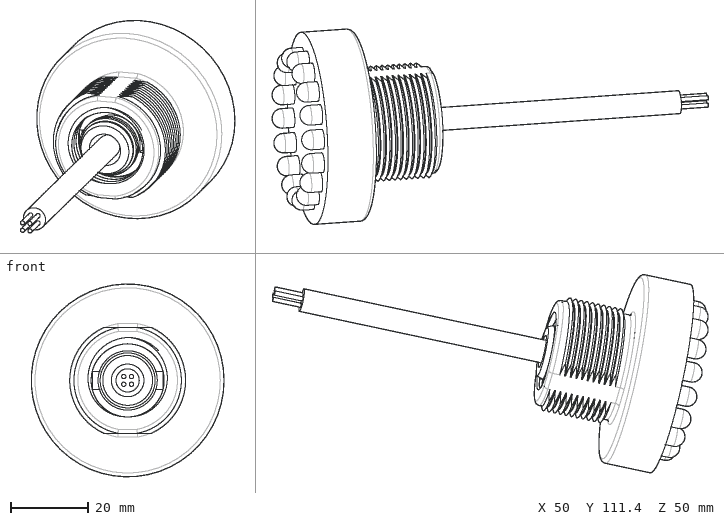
import cadquery as cq
import math


HEAD_DIAMETER = 50.0
HEAD_RADIUS = HEAD_DIAMETER / 2
HEAD_THICKNESS = 13.0
EDGE_RADIUS = 1.0

PIN_COUNT = 18
PIN_RADIUS = 2.6
PIN_LENGTH = 5.5
PIN_CIRCLE_RADIUS = 18.5
FIRST_PIN_ANGLE = 90

NECK_RADIUS = 13.9
NECK_LENGTH = 20.0
FLAT_DISTANCE = 13.7
THREAD_HEIGHT = 1.1
THREAD_START = 2.1
THREAD_LENGTH = 15.8
THREAD_TURNS = 10.5
THREAD_PITCH = THREAD_LENGTH / THREAD_TURNS
THREAD_START_ANGLE = 90

BORE_RADIUS = 9.5
BORE_DEPTH = 13.4
BORE_THREAD_PITCH = 2.0
BORE_THREAD_DEPTH = 1.7
BORE_THREAD_TURNS = 3.5
BORE_THREAD_START_ANGLE = 90
BORE_THREAD_RUNOUT = 0.5

GLAND_RECESS = 6.7
COLLAR_RADIUS = 7.1
COLLAR_TIP_RADIUS = 6.5
COLLAR_TAPER_LENGTH = 1.5
COLLAR_TIP = 21.2
COLLAR_LAND_LENGTH = 0.7
COLLAR_RIDGE_COUNT = 3
COLLAR_RIDGE_PITCH = 1.0
COLLAR_RIDGE_HEIGHT = 0.6
CONE_MOUTH_RADIUS = 4.2
CONE_DEPTH = 3.3
SLOT_INNER = COLLAR_RADIUS
SLOT_OUTER = 9.1
SLOT_WIDTH = 4.7
SLOT_DEPTH = 2.2

CABLE_RADIUS = 3.0
TOTAL_LENGTH = 111.4
WIRE_LENGTH = 7.5
WIRE_RADIUS = 0.6
WIRE_SPACING = 2.0

WIRE_TIP = TOTAL_LENGTH - HEAD_THICKNESS - PIN_LENGTH
CABLE_END = WIRE_TIP - WIRE_LENGTH
BORE_FLOOR = NECK_LENGTH - BORE_DEPTH
GLAND_FACE = NECK_LENGTH - GLAND_RECESS
CONE_FLOOR = COLLAR_TIP - CONE_DEPTH
TAPER_BASE = COLLAR_TIP - COLLAR_TAPER_LENGTH
FIRST_COLLAR_RIDGE = TAPER_BASE - COLLAR_LAND_LENGTH - COLLAR_RIDGE_PITCH / 2

THREAD_FLANK_ANGLE = 30
THREAD_OVERLAP = 0.06
AXIS_ORIGIN = (0, 0, 0)
AXIS_TIP = (0, 0, 1)


def revolve_profile(profile):
    """Turn a (radius, height) outline in the XZ plane about the Z axis."""
    return profile.close().revolve(360, (0, 0), (0, 1))


def cylinder(radius, bottom, top):
    return cq.Workplane("XY").workplane(offset=bottom).circle(radius).extrude(top - bottom)


def thread(surface_radius, height, pitch, turns, start, start_angle):
    """Right-hand 60 degree V ridge wound on a cylinder, rooted just below its surface."""
    root_radius = surface_radius - THREAD_OVERLAP
    half_width = (height + THREAD_OVERLAP) * math.tan(math.radians(THREAD_FLANK_ANGLE))
    path = cq.Wire.makeHelix(pitch, turns * pitch, surface_radius)
    ridge = (
        cq.Workplane("XZ")
        .moveTo(root_radius, -half_width)
        .lineTo(surface_radius + height, 0)
        .lineTo(root_radius, half_width)
        .close()
        .sweep(cq.Workplane(path), isFrenet=True)
    )
    return ridge.translate((0, 0, start)).rotate(AXIS_ORIGIN, AXIS_TIP, start_angle)


def make_head():
    return cylinder(HEAD_RADIUS, -HEAD_THICKNESS, 0).faces(">Z").edges().fillet(EDGE_RADIUS)


def make_pin():
    dome_start = PIN_LENGTH - PIN_RADIUS
    dome_45 = PIN_RADIUS * math.sqrt(0.5)
    profile = (
        cq.Workplane("XZ")
        .lineTo(PIN_RADIUS, 0)
        .lineTo(PIN_RADIUS, -dome_start)
        .threePointArc((dome_45, -dome_start - dome_45), (0, -PIN_LENGTH))
    )
    return revolve_profile(profile).translate((PIN_CIRCLE_RADIUS, 0, -HEAD_THICKNESS))


def make_flatted_neck():
    """Neck cylinder and its thread ridge, both cut by the two flats."""
    flats = cq.Workplane("XY").rect(4 * NECK_RADIUS, 2 * FLAT_DISTANCE).extrude(NECK_LENGTH)
    neck = cylinder(NECK_RADIUS, 0, NECK_LENGTH).intersect(flats)
    ridge = thread(NECK_RADIUS, THREAD_HEIGHT, THREAD_PITCH, THREAD_TURNS,
                   THREAD_START, THREAD_START_ANGLE)
    return neck, ridge.intersect(flats)


def make_bore():
    """Solid to cut from the neck: the plain bore with its thread groove around it."""
    plain = cylinder(BORE_RADIUS, BORE_FLOOR, NECK_LENGTH + BORE_THREAD_PITCH)
    groove_start = NECK_LENGTH - (BORE_THREAD_TURNS - BORE_THREAD_RUNOUT) * BORE_THREAD_PITCH
    groove = thread(BORE_RADIUS, BORE_THREAD_DEPTH, BORE_THREAD_PITCH, BORE_THREAD_TURNS,
                    groove_start, BORE_THREAD_START_ANGLE)
    return plain.union(groove)


def make_housing():
    neck, ridge = make_flatted_neck()
    housing = make_head().union(neck)
    reach = NECK_RADIUS + EDGE_RADIUS
    root = cq.selectors.BoxSelector((-reach, -reach, -EDGE_RADIUS), (reach, reach, EDGE_RADIUS))
    housing = housing.edges(root).fillet(EDGE_RADIUS)
    housing = housing.faces(">Z").edges().fillet(EDGE_RADIUS)
    housing = housing.union(ridge).cut(make_bore())
    pin = make_pin()
    for index in range(PIN_COUNT):
        angle = FIRST_PIN_ANGLE + index * 360 / PIN_COUNT
        housing = housing.union(pin.rotate(AXIS_ORIGIN, AXIS_TIP, angle))
    return housing


def make_collar_ridge(crest_position):
    half_width = COLLAR_RIDGE_PITCH / 2
    profile = (
        cq.Workplane("XZ")
        .moveTo(CONE_MOUTH_RADIUS, crest_position - half_width)
        .lineTo(COLLAR_RADIUS, crest_position - half_width)
        .lineTo(COLLAR_RADIUS + COLLAR_RIDGE_HEIGHT, crest_position)
        .lineTo(COLLAR_RADIUS, crest_position + half_width)
        .lineTo(CONE_MOUTH_RADIUS, crest_position + half_width)
    )
    return revolve_profile(profile)


def make_gland():
    """Gland, cable and wires as one solid."""
    profile = (
        cq.Workplane("XZ")
        .moveTo(0, BORE_FLOOR)
        .lineTo(BORE_RADIUS, BORE_FLOOR)
        .lineTo(BORE_RADIUS, GLAND_FACE)
        .lineTo(COLLAR_RADIUS, GLAND_FACE)
        .lineTo(COLLAR_RADIUS, TAPER_BASE)
        .lineTo(COLLAR_TIP_RADIUS, COLLAR_TIP)
        .lineTo(CONE_MOUTH_RADIUS, COLLAR_TIP)
        .lineTo(CABLE_RADIUS, CONE_FLOOR)
        .lineTo(CABLE_RADIUS, CABLE_END)
        .lineTo(0, CABLE_END)
    )
    gland = revolve_profile(profile)
    for index in range(COLLAR_RIDGE_COUNT):
        gland = gland.union(make_collar_ridge(FIRST_COLLAR_RIDGE - index * COLLAR_RIDGE_PITCH))
    return gland.cut(make_slots()).union(make_wires())


def make_slots():
    """Two wrench slots sunk into the gland face."""
    slot_middle = (SLOT_INNER + SLOT_OUTER) / 2
    return (
        cq.Workplane("XY")
        .workplane(offset=GLAND_FACE)
        .pushPoints([(-slot_middle, 0), (slot_middle, 0)])
        .rect(SLOT_OUTER - SLOT_INNER, SLOT_WIDTH)
        .extrude(-SLOT_DEPTH)
    )


def make_wires():
    return (
        cq.Workplane("XY")
        .workplane(offset=CABLE_END)
        .rect(WIRE_SPACING, WIRE_SPACING, forConstruction=True)
        .vertices()
        .circle(WIRE_RADIUS)
        .extrude(WIRE_LENGTH)
    )


def turn_to_part_axes(body):
    return body.rotate(AXIS_ORIGIN, (1, 0, 0), 90)


housing = turn_to_part_axes(make_housing())
gland = turn_to_part_axes(make_gland())
result = cq.Compound.makeCompound([housing.val(), gland.val()])